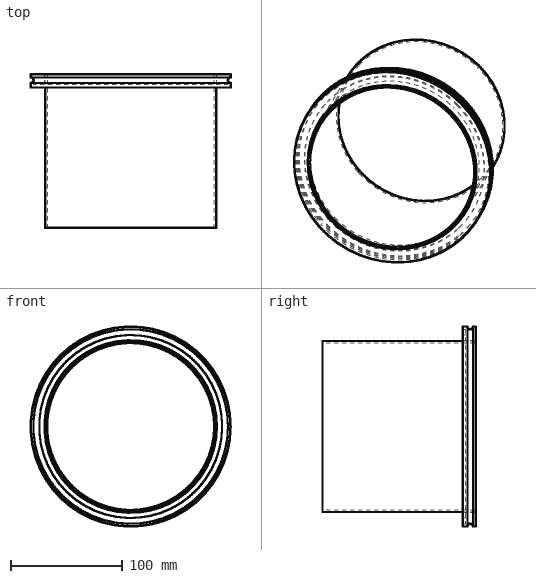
import cadquery as cq

flange_radius = 89.9
flange_thickness = 12.2
overall_length = 138.0

tube_outer_radius = 77.0
tube_wall = 2.0

bore_clearance = 0.4
edge_chamfer = 0.4
rim_groove_radius = 2.5
rim_groove_from_back = 5.4
face_groove_outer_radius = 87.3
face_groove_inner_radius = 82.1
face_groove_depth = 2.7

back_y = overall_length / 2
flange_front_y = back_y - flange_thickness


def ring(outer_radius, inner_radius, start_y, length):
    """Plain ring about the Y axis, running from start_y toward +Y."""
    return (
        cq.Workplane("XZ", origin=(0, start_y, 0))
        .circle(outer_radius)
        .circle(inner_radius)
        .extrude(-length)
    )


def rim_groove():
    """Torus that cuts a half-round groove around the flange rim."""
    groove_y = back_y - rim_groove_from_back
    return (
        cq.Workplane("XY")
        .center(flange_radius, groove_y)
        .circle(rim_groove_radius)
        .revolve(360, (-flange_radius, 0), (-flange_radius, 1))
    )


def make_flange():
    """Flange with chamfered rim, half-round rim groove and square front-face groove."""
    bore_radius = tube_outer_radius + bore_clearance
    blank = (
        cq.Workplane("XZ", origin=(0, flange_front_y, 0))
        .circle(flange_radius)
        .extrude(-flange_thickness)
        .edges()
        .chamfer(edge_chamfer)
    )
    bore = (
        cq.Workplane("XZ", origin=(0, flange_front_y, 0))
        .circle(bore_radius)
        .extrude(-flange_thickness)
    )
    face_groove = ring(
        face_groove_outer_radius, face_groove_inner_radius, flange_front_y, face_groove_depth
    )
    return blank.cut(bore).cut(face_groove).cut(rim_groove())


def make_tube():
    """Thin tube passing through the flange, flush with its back."""
    return ring(tube_outer_radius, tube_outer_radius - tube_wall, -back_y, overall_length)


flange = make_flange()
tube = make_tube()

result = cq.Compound.makeCompound([flange.val(), tube.val()])